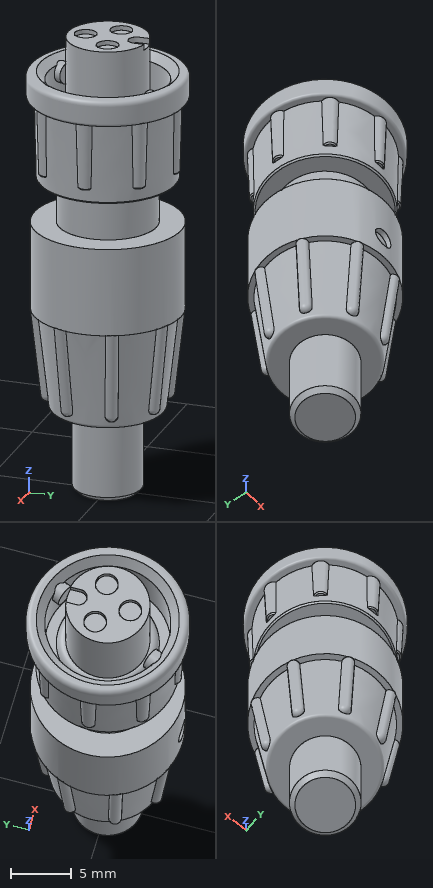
import cadquery as cq
import math


cable_bottom = 0.0
boot_bottom = 7.3
sleeve_bottom = 16.1
sleeve_top = 23.72
nut_bottom = 27.55
collar_bottom = 34.65
nut_top = 36.96
insert_top = 40.01

cable_radius = 2.94
cable_chamfer = 0.45

boot_bottom_radius = 4.85
boot_top_radius = 5.85
boot_edge_fillet = 0.3
boot_rib_count = 8
boot_rib_radius = 0.54
boot_rib_end_height = 8.5
boot_rib_top_overlap = 0.15
boot_rib_phase = 180 / boot_rib_count

sleeve_radius = 6.38
side_hole_height = 18.65
side_hole_radius = 0.95
side_hole_depth = 0.5

neck_radius = 4.23
neck_fillet = 0.72
cavity_floor = 32.3
neck_top = cavity_floor + neck_fillet

insert_radius = 3.46
socket_radius = 0.93
socket_depth = 0.4
socket_centers = [(-1.75, 0.58), (1.75, 0.58), (0.0, -1.92)]
key_slot_width = 1.4
key_slot_depth = 0.5
key_slot_end = 1.8

collar_radius = 6.755
collar_bottom_radius = 6.72
collar_top_fillet = 0.5
collar_bottom_fillet = 0.25
nut_body_top_radius = 6.02
nut_body_bottom_radius = 5.9
nut_bottom_chamfer = 0.15
cavity_radius = 5.17
cavity_mouth_radius = 5.87
cavity_mouth_depth = 0.7
nut_rib_count = 8
nut_rib_axis_radius = 5.6
nut_rib_top_radius = 0.8
nut_rib_bottom_radius = 0.64
nut_rib_end_height = 28.75
nut_rib_end_chamfer = 0.12

pin_radius = 0.9
pin_height = 35.55
pin_tip_radius = 4.48
pin_root_radius = 5.5
pin_angles = (67, 247)


def cone(bottom, bottom_radius, top, top_radius):
    """Solid of revolution about Z with straight sloping sides."""
    profile = [(0, bottom), (bottom_radius, bottom), (top_radius, top), (0, top)]
    return cq.Workplane("XZ").polyline(profile).close().revolve(360, (0, 0), (0, 1))


def cylinder(bottom, top, radius):
    return cone(bottom, radius, top, radius)


def ring_of(solid, count, phase=0.0):
    """Copies of a solid spaced evenly about Z."""
    ring = cq.Workplane("XY")
    for index in range(count):
        ring = ring.add(solid.rotate((0, 0, 0), (0, 0, 1), phase + index * 360 / count))
    return ring.combine()


def make_cable():
    cable = cylinder(cable_bottom, boot_bottom, cable_radius)
    return cable.faces("<Z").chamfer(cable_chamfer)


def make_boot():
    boot = cone(boot_bottom, boot_bottom_radius, sleeve_bottom, boot_top_radius)
    boot = boot.faces("<Z").edges().fillet(boot_edge_fillet)
    slope = (boot_top_radius - boot_bottom_radius) / (sleeve_bottom - boot_bottom)
    rib_end_axis = boot_bottom_radius + slope * (boot_rib_end_height - boot_bottom)
    start = cq.Vector(rib_end_axis, 0, boot_rib_end_height)
    direction = cq.Vector(slope, 0, 1)
    length = sleeve_bottom - boot_rib_end_height + boot_rib_top_overlap
    shaft = cq.Solid.makeCylinder(boot_rib_radius, length, start, direction)
    tip = cq.Workplane("XY").sphere(boot_rib_radius).translate(start)
    rib = cq.Workplane(shaft).union(tip)
    return boot.union(ring_of(rib, boot_rib_count, boot_rib_phase))


def make_sleeve():
    sleeve = cylinder(sleeve_bottom, sleeve_top, sleeve_radius)
    hole = (
        cq.Workplane("XZ", origin=(0, -sleeve_radius + side_hole_depth, 0))
        .center(0, side_hole_height)
        .circle(side_hole_radius)
        .extrude(sleeve_radius)
    )
    return sleeve.cut(hole)


def make_neck():
    neck = cylinder(sleeve_top, neck_top, neck_radius)
    return neck.faces(">Z").edges().fillet(neck_fillet)


def make_insert():
    insert = cylinder(sleeve_top, insert_top, insert_radius)
    sockets = (
        cq.Workplane("XY", origin=(0, 0, insert_top - socket_depth))
        .pushPoints(socket_centers)
        .circle(socket_radius)
        .extrude(socket_depth)
    )
    half_width = key_slot_width / 2
    key_slot = (
        cq.Workplane("XY", origin=(0, 0, insert_top - key_slot_depth))
        .moveTo(half_width, insert_radius)
        .lineTo(half_width, key_slot_end + half_width)
        .threePointArc((0, key_slot_end), (-half_width, key_slot_end + half_width))
        .lineTo(-half_width, insert_radius)
        .close()
        .extrude(key_slot_depth)
    )
    return insert.cut(sockets).cut(key_slot)


def make_collar():
    """Slightly tapered collar with a rounded top edge."""
    shoulder = nut_top - collar_top_fillet
    arc_inset = collar_top_fillet * (1 - math.sqrt(0.5))
    collar = (
        cq.Workplane("XZ")
        .moveTo(0, collar_bottom)
        .lineTo(collar_bottom_radius, collar_bottom)
        .lineTo(collar_radius, shoulder)
        .threePointArc(
            (collar_radius - arc_inset, nut_top - arc_inset),
            (collar_radius - collar_top_fillet, nut_top),
        )
        .lineTo(0, nut_top)
        .close()
        .revolve(360, (0, 0), (0, 1))
    )
    return collar.faces("<Z").edges().fillet(collar_bottom_fillet)


def make_nut():
    body = cone(nut_bottom, nut_body_bottom_radius, collar_bottom, nut_body_top_radius)
    body = body.faces("<Z").edges().chamfer(nut_bottom_chamfer)
    rib = cone(nut_rib_end_height, nut_rib_bottom_radius, collar_bottom, nut_rib_top_radius)
    rib = rib.faces("<Z").edges().chamfer(nut_rib_end_chamfer)
    rib = rib.translate((nut_rib_axis_radius, 0, 0))
    cavity = cylinder(cavity_floor, nut_top, cavity_radius)
    mouth = cone(nut_top - cavity_mouth_depth, cavity_radius, nut_top, cavity_mouth_radius)
    outside = make_collar().union(body).union(ring_of(rib, nut_rib_count))
    return outside.cut(cavity).cut(mouth)


def make_pin(angle):
    """Radial pin pointing from the cavity wall toward the axis."""
    heading = math.radians(angle)
    outward = cq.Vector(math.cos(heading), math.sin(heading), 0)
    tip = outward * pin_tip_radius + cq.Vector(0, 0, pin_height)
    return cq.Solid.makeCylinder(pin_radius, pin_root_radius - pin_tip_radius, tip, outward)


result = make_cable().union(make_boot()).union(make_sleeve()).union(make_neck())
result = result.union(make_nut()).union(make_insert())
for pin_angle in pin_angles:
    result = result.union(cq.Workplane(make_pin(pin_angle)))